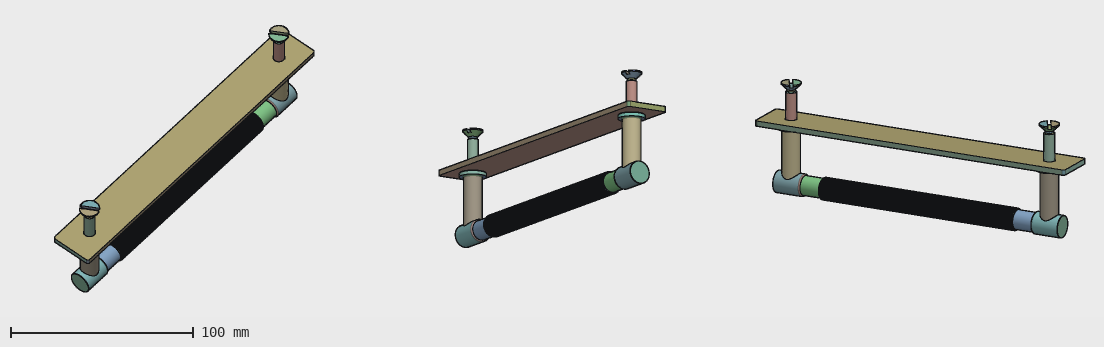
import cadquery as cq
import math

PLATE_LENGTH = 192.0
PLATE_WIDTH = 25.0
PLATE_THICKNESS = 3.0
PLATE_CORNER_RADIUS = 1.3
SCREW_CLEARANCE = 0.2

FIXING_OFFSET = 80.0
FIXING_SIDES = (-1, 1)

HEAD_RISE = 21.0
HEAD_RADIUS = 5.5
HEAD_RIM = 0.8
NECK_RADIUS = 2.5
SHANK_TOP_DROP = 5.4
SHANK_RADIUS = 3.0
SHANK_LEAD = 0.5
SCREW_ENGAGEMENT = 6.0
SLOT_WIDTH = 2.0
SLOT_DEPTH = 2.0
SLOT_ANGLE = 30.0

FLANGE_RADIUS = 7.5
FLANGE_THICKNESS = 2.3
FLANGE_CHAMFER = 0.4
POST_ROOT_FILLET = 0.4
POST_RADIUS = 5.2
HUB_RADIUS = 6.3
HUB_OUTER_LENGTH = 8.3
HUB_INNER_LENGTH = 8.5
HUB_INNER_FILLET = 0.8
HUB_OUTER_CHAMFER = 0.2

AXIS_DROP = 34.0
SHAFT_RADIUS = 5.5
GRIP_LENGTH = 120.5
GRIP_RADIUS = HUB_RADIUS
GRIP_CHAMFER = 0.8
RIDGE_COUNT = 60
GROOVE_DEPTH = 0.4

PLATE_TOP = PLATE_THICKNESS
SCREW_TOP = PLATE_TOP + HEAD_RISE
SCREW_TIP = -SCREW_ENGAGEMENT
AXIS_Z = -AXIS_DROP

HUB_INNER_Y = FIXING_OFFSET - HUB_INNER_LENGTH


def make_plate():
    """Flat backplate with rounded corners and a clearance hole for each screw."""
    plate = cq.Workplane("XY").box(PLATE_WIDTH, PLATE_LENGTH, PLATE_THICKNESS, centered=(True, True, False))
    plate = plate.edges("|Z").fillet(PLATE_CORNER_RADIUS)
    fixing_points = [(0, side * FIXING_OFFSET) for side in FIXING_SIDES]
    hole_diameter = 2 * (SHANK_RADIUS + SCREW_CLEARANCE)
    return plate.faces(">Z").workplane(origin=(0, 0, 0)).pushPoints(fixing_points).hole(hole_diameter)


def make_screw(side):
    """Countersunk screw with an undercut neck and a straight driving slot across its head."""
    cone_height = HEAD_RADIUS - NECK_RADIUS
    cone_bottom = SCREW_TOP - HEAD_RIM - cone_height
    shank_top = SCREW_TOP - SHANK_TOP_DROP
    profile = [
        (0, SCREW_TIP),
        (SHANK_RADIUS, SCREW_TIP),
        (SHANK_RADIUS, shank_top),
        (NECK_RADIUS, shank_top + SHANK_LEAD),
        (NECK_RADIUS, cone_bottom),
        (HEAD_RADIUS, SCREW_TOP - HEAD_RIM),
        (HEAD_RADIUS, SCREW_TOP),
        (0, SCREW_TOP),
    ]
    screw = cq.Workplane("XZ").polyline(profile).close().revolve(360, (0, 0, 0), (0, 1, 0))
    slot = (
        cq.Workplane("XY", origin=(0, 0, SCREW_TOP - SLOT_DEPTH))
        .transformed(rotate=(0, 0, SLOT_ANGLE))
        .rect(2 * HEAD_RADIUS, SLOT_WIDTH)
        .extrude(SLOT_DEPTH)
    )
    return screw.cut(slot).translate((0, side * FIXING_OFFSET, 0))


def make_post(side):
    """Flanged post that ends in a cross hub and is bored from above for the screw.

    It is shaped for the -Y end, where the hub's inner end faces +Y, and turned round for the +Y end.
    """
    column = (
        cq.Workplane("XZ")
        .lineTo(FLANGE_RADIUS - FLANGE_CHAMFER, 0)
        .lineTo(FLANGE_RADIUS, -FLANGE_CHAMFER)
        .lineTo(FLANGE_RADIUS, -FLANGE_THICKNESS)
        .lineTo(POST_RADIUS + POST_ROOT_FILLET, -FLANGE_THICKNESS)
        .tangentArcPoint((POST_RADIUS, -FLANGE_THICKNESS - POST_ROOT_FILLET), relative=False)
        .lineTo(POST_RADIUS, AXIS_Z)
        .lineTo(0, AXIS_Z)
        .close()
        .revolve(360, (0, 0, 0), (0, 1, 0))
    )
    hub = (
        cq.Workplane("XZ", origin=(0, HUB_INNER_LENGTH, AXIS_Z))
        .circle(HUB_RADIUS)
        .extrude(HUB_INNER_LENGTH + HUB_OUTER_LENGTH)
    )
    hub = hub.faces(">Y").edges().fillet(HUB_INNER_FILLET)
    hub = hub.faces("<Y").chamfer(HUB_OUTER_CHAMFER)
    screw_hole = cq.Workplane("XY").circle(SHANK_RADIUS).extrude(SCREW_TIP)
    post = column.union(hub).cut(screw_hole)
    if side > 0:
        post = post.rotate((0, 0, 0), (0, 0, 1), 180)
    return post.translate((0, side * FIXING_OFFSET, 0))


def make_ridged_grip():
    """Grip section with lengthwise V-shaped ridges all round and chamfered ends."""
    axis_plane = cq.Workplane("XZ", origin=(0, 0, AXIS_Z))
    half_pitch = math.pi / RIDGE_COUNT
    outline = []
    for index in range(2 * RIDGE_COUNT):
        radius = GRIP_RADIUS if index % 2 == 0 else GRIP_RADIUS - GROOVE_DEPTH
        angle = index * half_pitch
        outline.append((radius * math.cos(angle), radius * math.sin(angle)))
    ridges = axis_plane.polyline(outline).close().extrude(GRIP_LENGTH / 2, both=True)
    envelope = axis_plane.circle(GRIP_RADIUS).extrude(GRIP_LENGTH / 2, both=True)
    envelope = envelope.faces("<Y or >Y").chamfer(GRIP_CHAMFER)
    return ridges.intersect(envelope)


def make_bar():
    """Round shaft spanning the gap between the hubs, with the thicker ridged grip at its middle."""
    shaft = cq.Workplane("XZ", origin=(0, 0, AXIS_Z)).circle(SHAFT_RADIUS).extrude(HUB_INNER_Y, both=True)
    return shaft.union(make_ridged_grip())


plate = make_plate()
screws = [make_screw(side) for side in FIXING_SIDES]
posts = [make_post(side) for side in FIXING_SIDES]
bar = make_bar()

result = cq.Compound.makeCompound(
    [
        plate.val(),
        *[screw.val() for screw in screws],
        *[post.val() for post in posts],
        bar.val(),
    ]
)